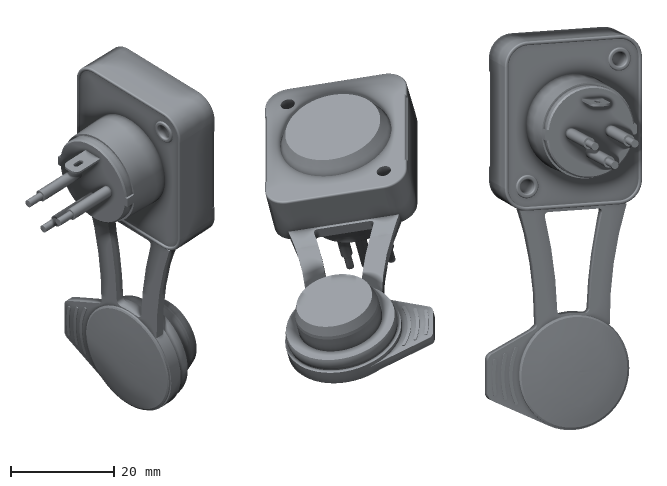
import cadquery as cq
import math


TOTAL_HEIGHT = 77.3

BLOCK_WIDTH = 28.25
BLOCK_HEIGHT = 33.4
BLOCK_DEPTH = 9.85
BLOCK_CORNER_RADIUS = 4.7
SEAT_DEPTH = 2.4
BLOCK_DRAFT_ANGLE = 0.75
REAR_EDGE_FILLET = 0.4
SIDE_NOTCH_DEPTH = 0.3
SIDE_NOTCH_LENGTH = 0.8

BEAD_HEIGHT = 0.35
BEAD_WIDTH = 0.75
BEAD_FILLET = 0.33

HOLE_POSITIONS = [(9.5, 11.95), (-9.5, -11.95)]
HOLE_RADIUS = 1.4
COLLAR_RADIUS = 2.3

CONE_BASE_RADIUS = 11.0
CONE_TOP_RADIUS = 9.4
CONE_HEIGHT = 2.8

BARREL_ROOT_RADIUS = 9.7
BARREL_RADIUS = 9.45
BARREL_LENGTH = 7.9
RIM_RADIUS = 9.05
RIM_LENGTH = 1.85
RIM_CHAMFER = 0.3
KEY_WIDTH = 2.0
BARREL_FRONT_Y = -(BARREL_LENGTH + RIM_LENGTH)

PIN_RADIUS = 1.15
PIN_TIP_RADIUS = 0.75
PIN_SHOULDER_Y = -20.0
PIN_TIP_Y = -23.4
SIDE_PIN_X = 4.1
LOWER_PIN_Z = -3.95
TAG_WIDTH = 3.9
TAG_THICKNESS = 0.45
TAG_TIP_Y = -16.3
TAG_CORNER_RADIUS = 1.4
TAG_Z = 6.55
TAG_HOLE_WIDTH = 1.1
TAG_HOLE_LENGTH = 2.3
TAG_HOLE_Y = -13.7

LID_RADIUS = 11.5
LID_Z = BLOCK_HEIGHT / 2 - TOTAL_HEIGHT + LID_RADIUS
LID_FRONT_Y = 0.25
LID_REAR_Y = 2.85
DOME_RIM_RADIUS = 10.9
DOME_RIM_Y = -0.3
DOME_STEP_RADIUS = 11.25
DOME_TOP_Y = -0.7
GROOVE_RADIUS = 10.75
SEAL_RADIUS = 11.0
SEAL_FRONT_Y = 3.15
SEAL_REAR_Y = 5.55
PLUG_RADIUS = 8.3
PLUG_CONE_Y = 9.4
PLUG_SHOULDER_Y = 8.7
PLUG_SHOULDER_RADIUS = 8.2
PLUG_END_Y = 11.3
PLUG_END_RADIUS = 7.5

STRAP_FRONT_Y = 0.25
STRAP_REAR_Y = 2.0
STRAP_TAPER_Z = -21.5
STRAP_TOP_Z = -BLOCK_HEIGHT / 2
STRAP_OUTER_TOP = (10.95, STRAP_TOP_Z)
STRAP_OUTER_MID = (8.6, -26.3)
STRAP_OUTER_END = (7.5, -40.2)
WINDOW_TOP = (6.1, -17.25)
WINDOW_MID = (4.2, -26.8)
WINDOW_END = (3.3, -37.7)
WINDOW_TOP_FILLET = 0.7
WINDOW_END_FILLET = 0.9

GRIP_X = -31.7 + BLOCK_WIDTH / 2
GRIP_ANGLE = math.radians(26)
GRIP_CORNER_RADIUS = 1.5
GRIP_STRAP_FILLET = 1.1
RIB_WIDTH = 0.65
RIB_HEIGHT = 0.2
GRIP_RIBS = [(-16.45, -16.2, 3.3), (-14.6, -14.05, 4.3), (-12.95, -11.8, 5.4)]


def front_plane(y=0.0, z=0.0):
    """Sketch plane facing -Y, with local x along X and local y along Z."""
    return cq.Workplane("XZ", origin=(0, y, z))


def revolve_about_y(outline):
    """Turn a closed (radius, Y) outline about the Y axis."""
    return outline.close().revolve(360, (0, 0, 0), (0, 1, 0))


def cylinder(radius, y_start, y_end, x=0.0, z=0.0):
    return front_plane(y_start).center(x, z).circle(radius).extrude(y_start - y_end)


def make_block_body():
    """Rounded block: a straight front layer and a slightly tapered, side-notched rear part."""
    front = front_plane().rect(BLOCK_WIDTH, BLOCK_HEIGHT).extrude(-SEAT_DEPTH)
    front = front.edges("|Y").fillet(BLOCK_CORNER_RADIUS)
    rear = (
        front.faces(">Y")
        .wires()
        .toPending()
        .workplane()
        .extrude(BLOCK_DEPTH - SEAT_DEPTH, taper=BLOCK_DRAFT_ANGLE, combine=False)
    )
    for side in (-1, 1):
        notch = cq.Workplane("XY").box(
            2 * SIDE_NOTCH_DEPTH, 2 * SIDE_NOTCH_LENGTH, 2 * CONE_TOP_RADIUS
        )
        rear = rear.cut(notch.translate((side * BLOCK_WIDTH / 2, BLOCK_DEPTH, 0)))
    rear = rear.faces(">Y").edges().fillet(REAR_EDGE_FILLET)
    return front.union(rear, clean=False)


def make_front_recess():
    """Volume removed from the front of the block around its beads."""
    recess = (
        front_plane()
        .rect(BLOCK_WIDTH - 2 * BEAD_WIDTH, BLOCK_HEIGHT - 2 * BEAD_WIDTH)
        .extrude(-BEAD_HEIGHT)
        .edges("|Y")
        .fillet(BLOCK_CORNER_RADIUS - BEAD_WIDTH)
    )
    for x, z in HOLE_POSITIONS:
        recess = recess.cut(cylinder(COLLAR_RADIUS, 0, BEAD_HEIGHT, x, z))
    return recess


def make_block():
    block = make_block_body().cut(make_front_recess())
    for x, z in HOLE_POSITIONS:
        block = block.cut(cylinder(HOLE_RADIUS, 0, BLOCK_DEPTH, x, z))
    return block.faces("<Y").edges().fillet(BEAD_FILLET)


def make_rear_cone():
    rear_y = BLOCK_DEPTH + CONE_HEIGHT
    outline = cq.Workplane("XY").polyline(
        [(0, BLOCK_DEPTH / 2), (CONE_BASE_RADIUS, BLOCK_DEPTH / 2), (CONE_BASE_RADIUS, BLOCK_DEPTH),
         (CONE_TOP_RADIUS, rear_y), (0, rear_y)]
    )
    return revolve_about_y(outline)


def make_barrel():
    outline = cq.Workplane("XY").polyline(
        [(0, SEAT_DEPTH), (BARREL_ROOT_RADIUS, SEAT_DEPTH), (BARREL_ROOT_RADIUS, 0),
         (BARREL_RADIUS, -BARREL_LENGTH), (RIM_RADIUS, -BARREL_LENGTH),
         (RIM_RADIUS, BARREL_FRONT_Y + RIM_CHAMFER), (RIM_RADIUS - RIM_CHAMFER, BARREL_FRONT_Y),
         (0, BARREL_FRONT_Y)]
    )
    key_bar = front_plane(-BARREL_LENGTH).rect(2 * BARREL_RADIUS, KEY_WIDTH).extrude(RIM_LENGTH)
    keys = key_bar.intersect(cylinder(BARREL_RADIUS, 0, BARREL_FRONT_Y))
    return revolve_about_y(outline).union(keys)


def make_pin(x, z):
    body = cylinder(PIN_RADIUS, 0, PIN_SHOULDER_Y, x, z)
    tip = cylinder(PIN_TIP_RADIUS, 0, PIN_TIP_Y, x, z)
    return body.union(tip)


def make_ground_tag():
    length = -TAG_TIP_Y
    tag = cq.Workplane("XY").box(TAG_WIDTH, length, TAG_THICKNESS).translate((0, -length / 2, TAG_Z))
    tag = tag.edges("|Z and <Y").fillet(TAG_CORNER_RADIUS)
    hole = (
        cq.Workplane("XY", origin=(0, TAG_HOLE_Y, TAG_Z))
        .slot2D(TAG_HOLE_LENGTH, TAG_HOLE_WIDTH, 90)
        .extrude(TAG_THICKNESS, both=True)
    )
    return tag.cut(hole)


def make_lid():
    dome_mid = (DOME_RIM_RADIUS / 2, DOME_TOP_Y + (DOME_RIM_Y - DOME_TOP_Y) / 4)
    outline = (
        cq.Workplane("XY")
        .moveTo(0, DOME_TOP_Y)
        .threePointArc(dome_mid, (DOME_RIM_RADIUS, DOME_RIM_Y))
        .lineTo(DOME_STEP_RADIUS, DOME_RIM_Y / 2)
        .lineTo(DOME_STEP_RADIUS, LID_FRONT_Y)
        .lineTo(LID_RADIUS, LID_FRONT_Y)
        .lineTo(LID_RADIUS, LID_REAR_Y)
        .lineTo(GROOVE_RADIUS, LID_REAR_Y)
        .lineTo(GROOVE_RADIUS, SEAL_FRONT_Y)
        .threePointArc((SEAL_RADIUS, (SEAL_FRONT_Y + SEAL_REAR_Y) / 2), (GROOVE_RADIUS, SEAL_REAR_Y))
        .lineTo(PLUG_RADIUS, SEAL_REAR_Y)
        .lineTo(PLUG_RADIUS, PLUG_SHOULDER_Y)
        .lineTo(PLUG_SHOULDER_RADIUS, PLUG_CONE_Y)
        .lineTo(PLUG_END_RADIUS, PLUG_END_Y)
        .lineTo(0, PLUG_END_Y)
    )
    return revolve_about_y(outline).translate((0, 0, LID_Z))


def mirrored_curve(top, middle, end):
    """Closed outline symmetric about X = 0, its two sides being arcs through three points."""
    return (
        front_plane()
        .moveTo(-top[0], top[1])
        .lineTo(*top)
        .threePointArc(middle, end)
        .lineTo(-end[0], end[1])
        .threePointArc((-middle[0], middle[1]), (-top[0], top[1]))
        .close()
    )


def make_strap():
    strap = mirrored_curve(STRAP_OUTER_TOP, STRAP_OUTER_MID, STRAP_OUTER_END).extrude(-SEAT_DEPTH)
    window = mirrored_curve(WINDOW_TOP, WINDOW_MID, WINDOW_END).extrude(-SEAT_DEPTH)
    window = window.edges("|Y and >Z").fillet(WINDOW_TOP_FILLET)
    window = window.edges("|Y and <Z").fillet(WINDOW_END_FILLET)
    side_profile = (
        cq.Workplane("YZ")
        .polyline(
            [(STRAP_FRONT_Y, STRAP_TOP_Z), (SEAT_DEPTH, STRAP_TOP_Z), (STRAP_REAR_Y, STRAP_TAPER_Z),
             (STRAP_REAR_Y, LID_Z), (STRAP_FRONT_Y, LID_Z)]
        )
        .close()
        .extrude(BLOCK_WIDTH / 2, both=True)
    )
    return strap.cut(window).intersect(side_profile)


def make_rib(middle_x, end_x, half_height):
    """Raised curved bar of constant width, standing proud of both faces of the grip."""
    sag = end_x - middle_x
    radius = (half_height**2 + sag**2) / (2 * sag)
    half_width = RIB_WIDTH / 2
    end_angle = math.asin(half_height / radius)

    def point(offset, angle):
        reach = radius + offset
        return (middle_x + radius - reach * math.cos(angle), reach * math.sin(angle))

    return (
        front_plane(STRAP_FRONT_Y - RIB_HEIGHT, LID_Z)
        .moveTo(*point(half_width, end_angle))
        .threePointArc(point(half_width, 0), point(half_width, -end_angle))
        .threePointArc(point(0, -end_angle - half_width / radius), point(-half_width, -end_angle))
        .threePointArc(point(-half_width, 0), point(-half_width, end_angle))
        .threePointArc(point(0, end_angle + half_width / radius), point(half_width, end_angle))
        .close()
        .extrude(-(STRAP_REAR_Y - STRAP_FRONT_Y + 2 * RIB_HEIGHT))
    )


def make_grip():
    tangent_x = -LID_RADIUS * math.sin(GRIP_ANGLE)
    tangent_z = LID_RADIUS * math.cos(GRIP_ANGLE)
    corner_z = tangent_z - (tangent_x - GRIP_X) * math.tan(GRIP_ANGLE)
    grip = (
        front_plane(STRAP_FRONT_Y, LID_Z)
        .polyline(
            [(tangent_x, tangent_z), (GRIP_X, corner_z), (GRIP_X, -corner_z), (tangent_x, -tangent_z)]
        )
        .close()
        .extrude(STRAP_FRONT_Y - STRAP_REAR_Y)
    )
    grip = grip.edges("|Y and <X").fillet(GRIP_CORNER_RADIUS)
    for middle_x, end_x, half_height in GRIP_RIBS:
        grip = grip.union(make_rib(middle_x, end_x, half_height))
    return grip


def make_strap_and_grip():
    """Strap joined to the grip, with the inside corner between them rounded."""
    joint_x = -STRAP_OUTER_END[0]
    joint_z = LID_Z + (LID_RADIUS + joint_x * math.sin(GRIP_ANGLE)) / math.cos(GRIP_ANGLE)
    joint = (joint_x, (STRAP_FRONT_Y + STRAP_REAR_Y) / 2, joint_z)
    strap = make_strap().union(make_grip())
    return strap.edges(cq.NearestToPointSelector(joint)).fillet(GRIP_STRAP_FILLET)


result = make_block().union(make_barrel()).union(make_rear_cone()).union(make_ground_tag())
for pin_x, pin_z in [(-SIDE_PIN_X, 0), (SIDE_PIN_X, 0), (0, LOWER_PIN_Z)]:
    result = result.union(make_pin(pin_x, pin_z))
result = result.union(make_strap_and_grip()).union(make_lid())